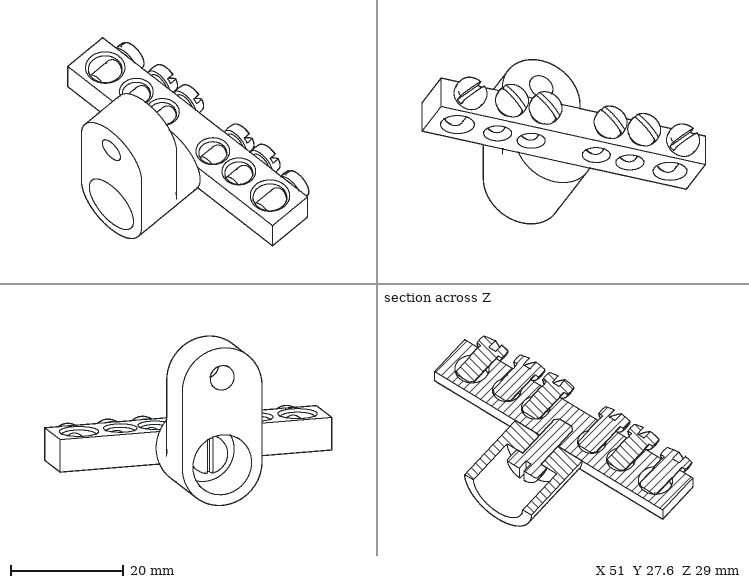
import cadquery as cq
import math

BAR_LENGTH = 51.0
BAR_DEPTH = 9.0
BAR_HEIGHT = 6.0

ARM_WIDTH = 15.0
ARM_THICKNESS = 9.0
ARM_CENTRES = 14.0
BOSS_LENGTH = 15.0
PIVOT_Z = 16.0
PIVOT_HOLE_DIAMETER = 4.5
RECESS_DIAMETER = 11.0
RECESS_DEPTH = 10.0

OUTER_WIRE_DIAMETER = 6.0
INNER_WIRE_DIAMETER = 5.0
WIRE_HOLE_CHAMFER = 0.5
OUTER_WIRE_X = 20.5
MIDDLE_WIRE_X = 12.75
INNER_WIRE_X = 6.25
OUTER_SCREW_GAP = 0.6
INNER_SCREW_GAP = 1.2
OUTER_SLOT_ANGLE = 45.0
INNER_SLOT_ANGLE = -45.0

TERMINALS = []
for side in (-1, 1):
    TERMINALS += [
        (side * OUTER_WIRE_X, OUTER_WIRE_DIAMETER, OUTER_SCREW_GAP, OUTER_SLOT_ANGLE),
        (side * MIDDLE_WIRE_X, INNER_WIRE_DIAMETER, INNER_SCREW_GAP, INNER_SLOT_ANGLE),
        (side * INNER_WIRE_X, INNER_WIRE_DIAMETER, INNER_SCREW_GAP, INNER_SLOT_ANGLE),
    ]

SHANK_DIAMETER = 4.0
TIP_CHAMFER = 0.6
SLOT_WIDTH = 1.0
HEAD_BULGE = 0.13
TERMINAL_HEAD_DIAMETER = 5.8
TERMINAL_RIM_HEIGHT = 2.05
TERMINAL_CROWN = 0.4
TERMINAL_RIM_ROUND = 0.2
TERMINAL_SLOT_DEPTH = 1.85
TERMINAL_SHANK_LENGTH = 7.75
CLAMP_HEAD_DIAMETER = 7.0
CLAMP_RIM_HEIGHT = 3.0
CLAMP_CROWN = 0.0
CLAMP_RIM_ROUND = 0.4
CLAMP_SLOT_DEPTH = 2.0
CLAMP_SHANK_LENGTH = 10.0


def along_y(diameter, y_start, length, x=0.0, z=0.0):
    """Cylinder whose axis runs toward +Y from y_start."""
    return (
        cq.Workplane("XZ", origin=(x, y_start, z))
        .circle(diameter / 2)
        .extrude(-length)
    )


def make_screw(head_diameter, rim_height, crown, rim_round, slot_depth, shank_length):
    """Slotted screw on the Z axis: head underside at Z = 0, shank downward, slot along X.

    The head's side bulges slightly; its top is a dome of height crown, or flat if crown is 0.
    """
    shank_radius = SHANK_DIAMETER / 2
    rim_radius = head_diameter / 2 - HEAD_BULGE
    head_height = rim_height + crown
    profile = (
        cq.Workplane("XZ")
        .moveTo(0, -shank_length)
        .lineTo(shank_radius - TIP_CHAMFER, -shank_length)
        .lineTo(shank_radius, TIP_CHAMFER - shank_length)
        .lineTo(shank_radius, 0)
        .lineTo(rim_radius, 0)
        .threePointArc((head_diameter / 2, rim_height / 2), (rim_radius, rim_height))
    )
    if crown > 0:
        crown_radius = (rim_radius**2 + crown**2) / (2 * crown)
        half_rim = rim_radius / 2
        half_rim_z = head_height - crown_radius + math.sqrt(crown_radius**2 - half_rim**2)
        profile = profile.threePointArc((half_rim, half_rim_z), (0, head_height))
    else:
        profile = profile.lineTo(0, head_height)
    body = profile.close().revolve(360, (0, 0, 0), (0, 1, 0))
    rim = cq.selectors.NearestToPointSelector((0, 0, rim_height))
    body = body.edges("%CIRCLE").edges(rim).fillet(rim_round)
    slot = (
        cq.Workplane("XY", origin=(0, 0, head_height - slot_depth))
        .rect(2 * head_diameter, SLOT_WIDTH)
        .extrude(slot_depth)
    )
    return body.cut(slot)


def make_terminal_screw(x, head_gap, slot_angle):
    """Terminal screw entering the bar from its back face."""
    screw = make_screw(
        TERMINAL_HEAD_DIAMETER,
        TERMINAL_RIM_HEIGHT,
        TERMINAL_CROWN,
        TERMINAL_RIM_ROUND,
        TERMINAL_SLOT_DEPTH,
        TERMINAL_SHANK_LENGTH,
    )
    return (
        screw.rotate((0, 0, 0), (0, 0, 1), slot_angle)
        .rotate((0, 0, 0), (1, 0, 0), -90)
        .translate((x, BAR_DEPTH + head_gap, 0))
    )


def make_clamp_screw():
    """Screw on the recess floor that holds the arm to the bar, slot upright."""
    screw = make_screw(
        CLAMP_HEAD_DIAMETER,
        CLAMP_RIM_HEIGHT,
        CLAMP_CROWN,
        CLAMP_RIM_ROUND,
        CLAMP_SLOT_DEPTH,
        CLAMP_SHANK_LENGTH,
    )
    return (
        screw.rotate((0, 0, 0), (0, 0, 1), 90)
        .rotate((0, 0, 0), (1, 0, 0), 90)
        .translate((0, RECESS_DEPTH - BOSS_LENGTH, 0))
    )


def make_wire_hole(x, diameter):
    """Cutter for a vertical wire hole with a chamfered upper mouth."""
    radius = diameter / 2
    half_height = BAR_HEIGHT / 2
    return (
        cq.Workplane("XZ")
        .moveTo(0, -half_height)
        .lineTo(radius, -half_height)
        .lineTo(radius, half_height - WIRE_HOLE_CHAMFER)
        .lineTo(radius + WIRE_HOLE_CHAMFER, half_height)
        .lineTo(0, half_height)
        .close()
        .revolve(360, (0, 0, 0), (0, 1, 0))
        .translate((x, BAR_DEPTH / 2, 0))
    )


def make_bar():
    bar = cq.Workplane("XY").box(BAR_LENGTH, BAR_DEPTH, BAR_HEIGHT).translate((0, BAR_DEPTH / 2, 0))
    for x, diameter, _, _ in TERMINALS:
        bar = bar.cut(make_wire_hole(x, diameter))
        bar = bar.cut(along_y(SHANK_DIAMETER, BAR_DEPTH / 2, BAR_DEPTH / 2, x))
    return bar.cut(make_clamp_screw())


def make_crank_arm():
    front = -BOSS_LENGTH
    arm = along_y(ARM_WIDTH, front, BOSS_LENGTH)
    arm = arm.union(along_y(ARM_WIDTH, front, ARM_THICKNESS, z=ARM_CENTRES))
    web = (
        cq.Workplane("XZ", origin=(0, front, ARM_CENTRES / 2))
        .rect(ARM_WIDTH, ARM_CENTRES)
        .extrude(-ARM_THICKNESS)
    )
    arm = arm.union(web)
    arm = arm.cut(along_y(SHANK_DIAMETER, front, BOSS_LENGTH))
    arm = arm.cut(along_y(RECESS_DIAMETER, front, RECESS_DEPTH))
    return arm.cut(along_y(PIVOT_HOLE_DIAMETER, front, ARM_THICKNESS, z=PIVOT_Z))


bar = make_bar()
crank_arm = make_crank_arm()
clamp_screw = make_clamp_screw()
terminal_screws = [make_terminal_screw(x, gap, angle) for x, _, gap, angle in TERMINALS]

result = cq.Compound.makeCompound(
    [bar.val(), crank_arm.val(), clamp_screw.val(), *[screw.val() for screw in terminal_screws]]
)